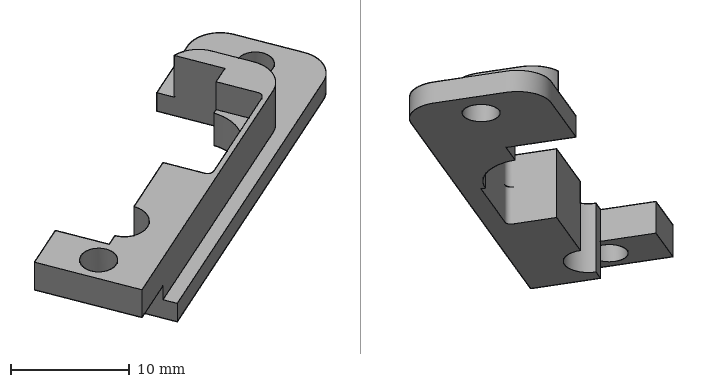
import cadquery as cq

length = 39.99
base_width = 12.4
body_width = 9.8
total_height = 6.5
base_thickness = 2.0
tongue_thickness = 3.0

tongue_length = 4.64
head_length = 9.75
body_setback = 8.0
head_edge_y = length - head_length
body_end_y = length - body_setback

corner_radius = 3.0
screw_diameter = 3.2
head_screw_y = length - corner_radius
tongue_screw_y = tongue_length / 2

pocket_start_y = 16.55
pocket_end_y = 28.3
upper_pocket_corner_radius = 0.6
lower_pocket_corner_radius = 0.5
wall_thickness = 0.5
pocket_x = body_width / 2 - wall_thickness
ledge_z = total_height - tongue_thickness

seat_radius = 4.2
seat_y = 23.6
seat_x = -0.2

notch_diameter = 4.2
notch_y = 8.0


def block(x_min, x_max, y_min, y_max, z_min, z_max):
    """Axis-aligned box given by its limits."""
    size = (x_max - x_min, y_max - y_min, z_max - z_min)
    return cq.Workplane("XY").box(*size, centered=False).translate((x_min, y_min, z_min))


def upright_cylinder(x, y, diameter):
    """Cylinder along Z through the full height of the part."""
    return cq.Workplane("XY").center(x, y).circle(diameter / 2).extrude(total_height)


def round_ended_plate(width, y_min, y_max, z_min, z_max):
    """Plate centred on X = 0 with its two far-end corners rounded."""
    plate = block(-width / 2, width / 2, y_min, y_max, z_min, z_max)
    return plate.edges("|Z and >Y").fillet(corner_radius)


def make_outer_shape():
    base = round_ended_plate(base_width, tongue_length, length, 0, base_thickness)
    body = round_ended_plate(body_width, tongue_length, body_end_y, 0, total_height)
    tongue = block(-body_width / 2, body_width / 2, 0, tongue_length, ledge_z, total_height)
    return base.union(body).union(tongue)


def make_side_opening():
    """Everything on the -X side between the tongue and the head."""
    return block(-base_width / 2, 0, tongue_length, head_edge_y, 0, total_height)


def make_pocket_level(z_min, z_max, inner_corner_radius):
    """One level of the pocket, with rounded corners against the thin wall."""
    level = block(0, pocket_x, pocket_start_y, pocket_end_y, z_min, z_max)
    return level.edges("|Z and >X").fillet(inner_corner_radius)


def make_pocket():
    """Recess up to the thin wall: open below, except where the ledge stands."""
    upper_level = make_pocket_level(ledge_z, total_height, upper_pocket_corner_radius)
    lower_level = make_pocket_level(0, ledge_z, lower_pocket_corner_radius)
    return upper_level.union(lower_level)


def make_ledge():
    ledge = block(0, pocket_x, seat_y, pocket_end_y, 0, ledge_z)
    return ledge.cut(upright_cylinder(seat_x, seat_y, 2 * seat_radius))


result = make_outer_shape()
result = result.cut(make_side_opening())
result = result.cut(make_pocket())
result = result.union(make_ledge())
result = result.cut(upright_cylinder(0, notch_y, notch_diameter))
for screw_y in (tongue_screw_y, head_screw_y):
    result = result.cut(upright_cylinder(0, screw_y, screw_diameter))